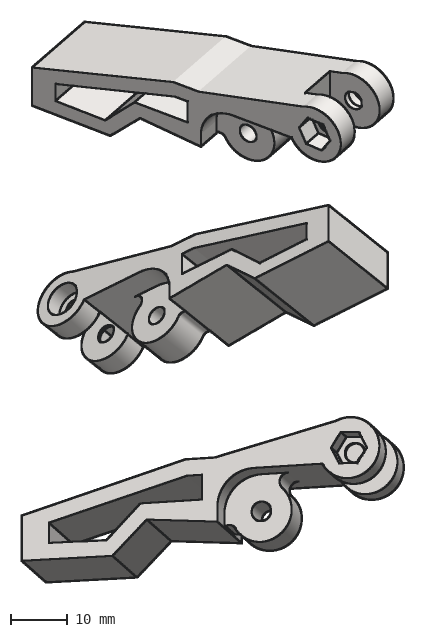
import cadquery as cq
import math

length = 65.0
width = 16.8
height = 22.4
hole_radius = 1.75

fork_radius = 5.5
fork_x = length - fork_radius
fork_z = height - fork_radius
crest_x = 57.1
fork_gap = 7.9
fork_gap_start_x = 54.5
hex_circumradius = 3.25
hex_depth = 3.9
hex_tilt = -3.0
head_radius = 3.25
head_depth = 3.25

pivot_x = 42.2
pivot_z = 7.6
pivot_radius = 5.5
clearance_radius = 6.7
lug_width = 7.0
lug_fillet = 1.55
lug_heel_z = 5.45
heel_fillet = 1.0

body_end_x = pivot_x - clearance_radius
arm_bottom_z = pivot_z + clearance_radius
tail_bottom_z = 0.1
tail_top_z = 8.3
knee_x = 16.5
waist_x = 22.75
waist_z = 6.2
body_end_z = 5.0
saddle_start_x = 29.75
saddle_end_x = 35.1
saddle_z = 16.6

window_start_x = 4.95
window_end_x = 32.75
window_crest_x = 30.1
window_step_x = 21.6
window_knee_x = 15.4
window_floor_z = 3.05
window_knee_z = 2.9
window_start_top_z = 6.7
window_step_z = 9.15
window_top_z = 13.65


def across(sketch, thickness):
    """Extrude an XZ sketch to a thickness centred on Y = 0."""
    return sketch.extrude(thickness / 2, both=True)


def cylinder(x, z, radius, thickness):
    """Round bar along Y, centred on Y = 0."""
    return across(cq.Workplane("XZ").center(x, z).circle(radius), thickness)


def make_lever():
    crest_z = fork_z + math.sqrt(fork_radius**2 - (fork_x - crest_x) ** 2)
    arm_drop = fork_z - arm_bottom_z
    eye_meet_x = fork_x - math.sqrt(fork_radius**2 - arm_drop**2)
    arc_offset = clearance_radius * math.sqrt(0.5)
    outline = (
        cq.Workplane("XZ")
        .moveTo(0, tail_bottom_z)
        .lineTo(0, tail_top_z)
        .lineTo(saddle_start_x, saddle_z)
        .lineTo(saddle_end_x, saddle_z)
        .lineTo(crest_x, crest_z)
        .threePointArc((fork_x + fork_radius, fork_z), (eye_meet_x, arm_bottom_z))
        .lineTo(pivot_x, arm_bottom_z)
        .threePointArc((pivot_x - arc_offset, pivot_z + arc_offset), (body_end_x, pivot_z))
        .lineTo(body_end_x, body_end_z)
        .lineTo(waist_x, waist_z)
        .lineTo(knee_x, 0)
        .close()
    )
    return across(outline, width)


def make_window():
    outline = (
        cq.Workplane("XZ")
        .moveTo(window_start_x, window_floor_z)
        .lineTo(window_start_x, window_start_top_z)
        .lineTo(window_crest_x, window_top_z)
        .lineTo(window_end_x, window_top_z)
        .lineTo(window_end_x, window_step_z)
        .lineTo(window_step_x, window_step_z)
        .lineTo(window_knee_x, window_knee_z)
        .close()
    )
    return across(outline, width)


def fillet_points(tangent_z, radius, side):
    """Ends and middle of a fillet between the pivot eye and a level edge of the lug.

    side is +1 or -1 for the +X or -X flank of the eye.
    """
    reach = pivot_radius + radius
    center_z = tangent_z - radius
    offset_z = center_z - pivot_z
    offset_x = side * math.sqrt(reach**2 - offset_z**2)
    center_x = pivot_x + offset_x
    on_edge = (center_x, tangent_z)
    on_eye = (center_x - radius * offset_x / reach, center_z - radius * offset_z / reach)
    middle_x = (on_edge[0] + on_eye[0]) / 2 - center_x
    middle_z = (on_edge[1] + on_eye[1]) / 2 - center_z
    stretch = radius / math.hypot(middle_x, middle_z)
    middle = (center_x + middle_x * stretch, center_z + middle_z * stretch)
    return on_edge, middle, on_eye


def make_lug():
    arm_edge, arm_middle, arm_eye = fillet_points(arm_bottom_z, lug_fillet, 1)
    heel_edge, heel_middle, heel_eye = fillet_points(lug_heel_z, heel_fillet, -1)
    outline = (
        cq.Workplane("XZ")
        .moveTo(body_end_x, lug_heel_z)
        .lineTo(*heel_edge)
        .threePointArc(heel_middle, heel_eye)
        .threePointArc((pivot_x, pivot_z - pivot_radius), arm_eye)
        .threePointArc(arm_middle, arm_edge)
        .lineTo(pivot_x, arm_bottom_z)
        .lineTo(body_end_x, arm_bottom_z)
        .close()
    )
    return across(outline, lug_width)


def make_fork_gap():
    gap_length = fork_x + fork_radius - fork_gap_start_x
    gap_height = 4 * fork_radius
    return cq.Workplane("XY").box(gap_length, fork_gap, gap_height, centered=(False, True, True)).translate(
        (fork_gap_start_x, 0, fork_z)
    )


def make_nut_pocket():
    """Hexagonal nut recess in the -Y face of the fork."""
    return (
        cq.Workplane("XZ", origin=(fork_x, -width / 2, fork_z))
        .transformed(rotate=(0, 0, hex_tilt))
        .polygon(6, 2 * hex_circumradius)
        .extrude(-hex_depth)
    )


def make_head_pocket():
    """Round bolt-head counterbore in the +Y face of the fork."""
    face = cq.Workplane("XZ", origin=(fork_x, width / 2, fork_z))
    return face.circle(head_radius).extrude(head_depth)


result = make_lever().cut(make_window()).union(make_lug()).cut(make_fork_gap())
result = result.cut(make_nut_pocket()).cut(make_head_pocket())
for hole_x, hole_z in [(fork_x, fork_z), (pivot_x, pivot_z)]:
    result = result.cut(cylinder(hole_x, hole_z, hole_radius, width))